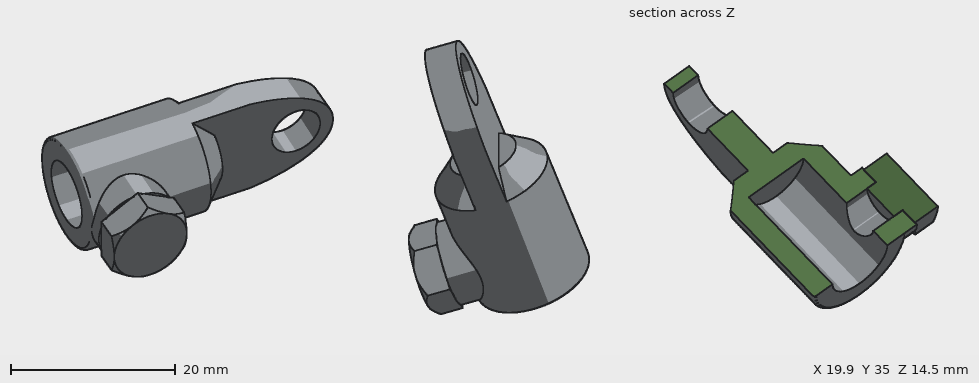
import cadquery as cq
import math

total_length = 35.0
barrel_radius = 7.25
shoulder_y = 16.0
cone_length = 3.0
cone_tip_y = shoulder_y + cone_length
mouth_fillet = 0.4
bore_diameter = 8.6
bore_depth = shoulder_y

eye_thickness = 4.0
eye_hole_diameter = 6.5
eye_hole_y = total_length - 5.0
nose_start_y = cone_tip_y
nose_flank_pull = 9.8
nose_tip_pull = 4.2

boss_radius = 5.25
boss_y = boss_radius
boss_face_x = 9.0
screw_hole_diameter = 5.05
screw_tip_x = 7.52

head_end_x = 12.6
head_flats = 9.8
head_corner_radius = head_flats / math.sqrt(3)
head_chamfer = head_corner_radius - head_flats / 2
head_length = head_end_x - boss_face_x


def cylinder_along_y(radius, start_y, length):
    return cq.Workplane("XY").add(
        cq.Solid.makeCylinder(radius, length, cq.Vector(0, start_y, 0), cq.Vector(0, 1, 0))
    )


def cylinder_along_x(radius, start_x, length):
    return cq.Workplane("XY").add(
        cq.Solid.makeCylinder(radius, length, cq.Vector(start_x, boss_y, 0), cq.Vector(1, 0, 0))
    )


def make_barrel():
    """Cylinder with a rounded mouth edge and a conical end."""
    barrel = cylinder_along_y(barrel_radius, 0, cone_tip_y)
    barrel = barrel.faces("<Y").edges().fillet(mouth_fillet)
    return barrel.faces(">Y").edges().chamfer(cone_length)


def make_eye():
    """Flat plate with a smoothly rounded nose, its edges following the barrel's cylinder."""
    pull_y = nose_start_y + nose_flank_pull
    lower_nose = [
        (nose_start_y, -barrel_radius),
        (pull_y, -barrel_radius),
        (total_length, -nose_tip_pull),
        (total_length, 0),
    ]
    upper_nose = [(y, -z) for y, z in reversed(lower_nose)]
    plate = (
        cq.Workplane("YZ", origin=(-eye_thickness / 2, 0, 0))
        .moveTo(shoulder_y, -barrel_radius)
        .lineTo(nose_start_y, -barrel_radius)
        .bezier(lower_nose)
        .bezier(upper_nose)
        .lineTo(shoulder_y, barrel_radius)
        .close()
        .extrude(eye_thickness)
    )
    envelope = cylinder_along_y(barrel_radius, shoulder_y, total_length - shoulder_y)
    hole = (
        cq.Workplane("YZ")
        .center(eye_hole_y, 0)
        .circle(eye_hole_diameter / 2)
        .extrude(eye_thickness, both=True)
    )
    return plate.intersect(envelope).cut(hole)


def make_housing():
    boss = cylinder_along_x(boss_radius, 0, boss_face_x)
    bore = cylinder_along_y(bore_diameter / 2, 0, bore_depth)
    screw_hole = cylinder_along_x(screw_hole_diameter / 2, 0, boss_face_x)
    return make_barrel().union(make_eye()).union(boss).cut(bore).cut(screw_hole)


def make_screw():
    """Hexagon head with a turned 45 degree chamfer, and a plain shank filling the screw hole."""
    head = (
        cq.Workplane("YZ", origin=(boss_face_x, boss_y, 0))
        .polygon(6, 2 * head_corner_radius)
        .extrude(head_length)
        .rotate((0, boss_y, 0), (1, boss_y, 0), 90)
    )
    turned_blank = (
        cylinder_along_x(head_corner_radius, boss_face_x, head_length)
        .faces(">X")
        .edges()
        .chamfer(head_chamfer)
    )
    shank = cylinder_along_x(screw_hole_diameter / 2, screw_tip_x, boss_face_x - screw_tip_x)
    return head.intersect(turned_blank).union(shank)


housing = make_housing()
screw = make_screw()

result = cq.Compound.makeCompound([housing.val(), screw.val()])